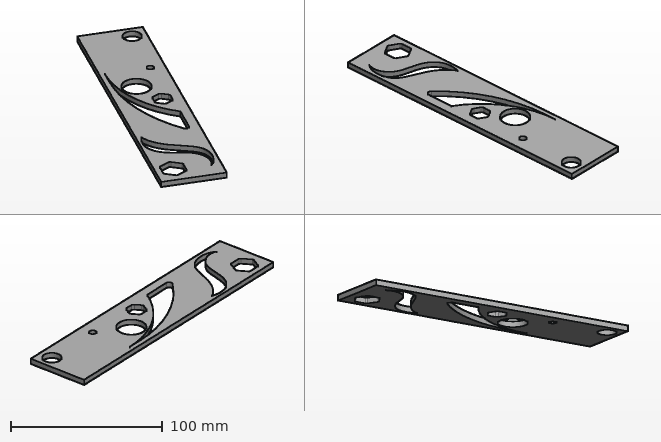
import cadquery as cq
import math

length = 200.0
width = 45.0
thickness = 4.0

upper_row_y = 12.5
round_holes = [
    (9.8, upper_row_y, 12.8),
    (53.0, upper_row_y, 5.0),
    (74.2, -3.2, 20.0),
]

hex_holes = [
    (94.5, 8.8, 12.5, 2.0),
    (185.2, -10.0, 16.0, 1.5),
]

blade_bottom = -18.8
blade_top = 15.5
blade_tip_x = 52.8
blade_upper_radius = 72.0
blade_lower_start_x = 62.5
blade_lower_radius = 104.5
blade_corner_radius = 2.5

s_lower_tip = (139.5, -18.8)
s_upper_tip = (187.5, 15.5)
s_left_edge = [(145.5, -15.2), (152.0, -7.8), (158.5, 5.5), (165.0, 16.0), (173.5, 19.5)]
s_right_edge = [(176.0, 15.2), (169.8, 9.8), (165.5, -1.8), (160.5, -14.0), (154.5, -18.8), (147.0, -20.2)]

cut_depth = 2 * thickness


def cutter_plane():
    return cq.Workplane("XY").workplane(offset=-cut_depth / 2)


def round_cutter(x, y, diameter):
    return cutter_plane().center(x, y).circle(diameter / 2).extrude(cut_depth)


def hex_cutter(x, y, across_flats, corner_radius):
    across_corners = across_flats / math.cos(math.pi / 6)
    prism = cutter_plane().center(x, y).polygon(6, across_corners).extrude(cut_depth)
    return prism.edges("|Z").fillet(corner_radius)


def point_on_rising_arc(start_x, radius, rise):
    """Point reached after climbing by rise on an arc that starts horizontally."""
    return (start_x + math.sqrt(2 * radius * rise - rise**2), blade_bottom + rise)


def blade_cutter():
    height = blade_top - blade_bottom
    upper_end = point_on_rising_arc(blade_tip_x, blade_upper_radius, height)
    upper_middle = point_on_rising_arc(blade_tip_x, blade_upper_radius, height / 2)
    lower_end = point_on_rising_arc(blade_lower_start_x, blade_lower_radius, height)
    lower_middle = point_on_rising_arc(blade_lower_start_x, blade_lower_radius, height / 2)
    blade = (
        cutter_plane()
        .moveTo(blade_tip_x, blade_bottom)
        .lineTo(blade_lower_start_x, blade_bottom)
        .threePointArc(lower_middle, lower_end)
        .lineTo(*upper_end)
        .threePointArc(upper_middle, (blade_tip_x, blade_bottom))
        .close()
        .extrude(cut_depth)
    )
    return blade.edges("|Z").edges(">X").fillet(blade_corner_radius)


def s_cutter():
    return (
        cutter_plane()
        .moveTo(*s_lower_tip)
        .spline(s_left_edge + [s_upper_tip], includeCurrent=True)
        .spline(s_right_edge + [s_lower_tip], includeCurrent=True)
        .close()
        .extrude(cut_depth)
    )


result = cq.Workplane("XY").box(length, width, thickness).translate((length / 2, 0, 0))
for hole in round_holes:
    result = result.cut(round_cutter(*hole))
for hole in hex_holes:
    result = result.cut(hex_cutter(*hole))
result = result.cut(blade_cutter()).cut(s_cutter())